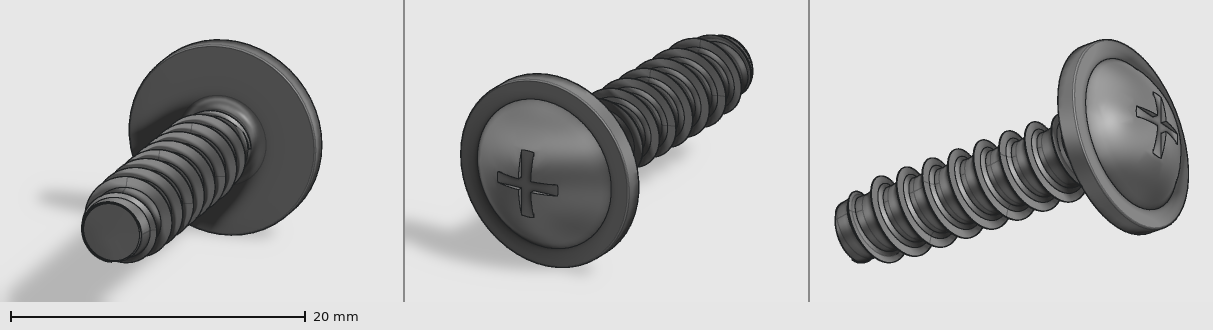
import cadquery as cq
import math

total_length = 25.9

flange_diameter = 13.5
flange_radius = flange_diameter / 2
flange_thickness = 1.4
flange_edge_round = 0.1
dome_radius = 5.36
dome_height = 2.57
slot_depth = 0.45
slot_width_x = 0.98
slot_width_z = 0.8

neck_radius = 2.4
neck_fillet = 0.78
neck_length = 1.48
core_radius = 2.12
core_start = 2.33
tip_face_radius = 2.02
tip_chamfer_length = 0.1
tip_cone_height = 0.08

thread_length = 20.83
section_count = 13
section_turns = 0.75
turns = section_count * section_turns
pitch = thread_length / turns
points_per_section = 18
crest_radius = 3.0
crest_half_width = 0.04
shoulder_radius = 2.44
shoulder_offset = 0.168
ridge_radius = 2.33
ridge_offset = 0.34
root_radius = 2.1
head_root_offset = 0.41
tip_root_offset = 1.48
start_turns = 1.4
start_height = 0.25
end_turns = 1.5
end_height = 0.05
ridge_end_turns = 0.75

sphere_radius = (dome_radius**2 + dome_height**2) / (2 * dome_height)
corner_distance_squared = (slot_width_x**2 + slot_width_z**2) / 4
corner_drop = sphere_radius - math.sqrt(sphere_radius**2 - corner_distance_squared)
apex_y = flange_thickness + dome_height
tip_y = apex_y - corner_drop - total_length
tip_rim_y = tip_y + tip_cone_height
thread_start_y = tip_rim_y + thread_length


def make_flange():
    flange = cq.Workplane("XZ").circle(flange_radius).extrude(-flange_thickness)
    return flange.edges().fillet(flange_edge_round)


def make_dome():
    """Spherical cap with two crossing flat-bottomed slots."""
    half_angle = math.asin(dome_radius / sphere_radius) / 2
    middle_x = sphere_radius * math.sin(half_angle)
    middle_y = apex_y - sphere_radius * (1 - math.cos(half_angle))
    dome = (
        cq.Workplane("XY")
        .moveTo(0, 0)
        .lineTo(dome_radius, 0)
        .lineTo(dome_radius, flange_thickness)
        .threePointArc((middle_x, middle_y), (0, apex_y))
        .close()
        .revolve(360, (0, 0, 0), (0, 1, 0))
    )
    slot_length = 2 * dome_radius
    for size_x, size_z in ((slot_width_x, slot_length), (slot_length, slot_width_z)):
        slot = cq.Workplane("XY").box(size_x, 2 * slot_depth, size_z)
        dome = dome.cut(slot.translate((0, apex_y, 0)))
    return dome


def make_shank():
    """Filleted neck, taper down to the thread core, and chamfered tip."""
    fillet_outer = neck_radius + neck_fillet
    fillet_middle = neck_fillet * math.sqrt(0.5)
    return (
        cq.Workplane("XY")
        .moveTo(0, flange_thickness / 2)
        .lineTo(fillet_outer, flange_thickness / 2)
        .lineTo(fillet_outer, 0)
        .threePointArc(
            (fillet_outer - fillet_middle, fillet_middle - neck_fillet),
            (neck_radius, -neck_fillet),
        )
        .lineTo(neck_radius, -neck_length)
        .lineTo(core_radius, -core_start)
        .lineTo(core_radius, tip_rim_y + tip_chamfer_length)
        .lineTo(tip_face_radius, tip_rim_y)
        .lineTo(0, tip_rim_y)
        .close()
        .revolve(360, (0, 0, 0), (0, 1, 0))
    )


def tooth_scale(turn):
    """Tooth height factor: rises over the first turns and falls over the last ones."""
    rise = start_height + (1 - start_height) * turn / start_turns
    fall = end_height + (1 - end_height) * (turns - turn) / end_turns
    return min(1, rise, fall)


def ridge_scale(turn):
    """Height factor of the tapered ridge beside the tooth, falling at the tip."""
    return min(1, end_height + (1 - end_height) * (turns - turn) / ridge_end_turns)


def thread_rail(offset, radius, first_turn):
    """Right-handed helical edge through one corner of the thread profile.

    Offsets run from the crest along the axis, positive toward the tip. The head side of the
    tooth narrows as the tooth loses height.
    """
    ridge_height = min(radius, ridge_radius) - root_radius
    tooth_height = max(radius - ridge_radius, 0)
    points = []
    for index in range(points_per_section + 1):
        turn = first_turn + section_turns * index / points_per_section
        angle = 2 * math.pi * turn
        r = root_radius + ridge_height * ridge_scale(turn) + tooth_height * tooth_scale(turn)
        narrowing = tooth_scale(turn) if offset < 0 else 1
        y = thread_start_y - turn * pitch - offset * narrowing
        points.append(cq.Vector(r * math.cos(angle), y, r * math.sin(angle)))
    return cq.Edge.makeSpline(points)


def make_thread_section(first_turn):
    """Pointed tooth followed by a ridge that tapers back to the core, over part of a turn."""
    profile = (
        (-head_root_offset, root_radius),
        (-shoulder_offset, shoulder_radius),
        (-crest_half_width, crest_radius),
        (crest_half_width, crest_radius),
        (ridge_offset, ridge_radius),
        (tip_root_offset, root_radius),
    )
    rails = [thread_rail(offset, radius, first_turn) for offset, radius in profile]
    next_rails = rails[1:] + rails[:1]
    faces = [cq.Face.makeRuledSurface(first, second) for first, second in zip(rails, next_rails)]
    for end in (0, 1):
        corners = [rail.positionAt(end) for rail in rails]
        faces.append(cq.Face.makeFromWires(cq.Wire.makePolygon(corners, close=True)))
    return cq.Workplane(cq.Solid.makeSolid(cq.Shell.makeShell(faces)))


def make_threaded_shank():
    """Shank with its thread cut flush at the tip rim and closed by the tip cone."""
    shank = make_shank()
    for section in range(section_count):
        shank = shank.union(make_thread_section(section * section_turns))
    beyond_tip = cq.Workplane("XZ", origin=(0, tip_rim_y, 0)).circle(flange_radius).extrude(2 * pitch)
    tip_cone = cq.Solid.makeCone(
        tip_face_radius, 0, tip_cone_height, cq.Vector(0, tip_rim_y, 0), cq.Vector(0, -1, 0)
    )
    return shank.cut(beyond_tip).union(cq.Workplane(tip_cone))


result = make_flange().union(make_dome()).union(make_threaded_shank())